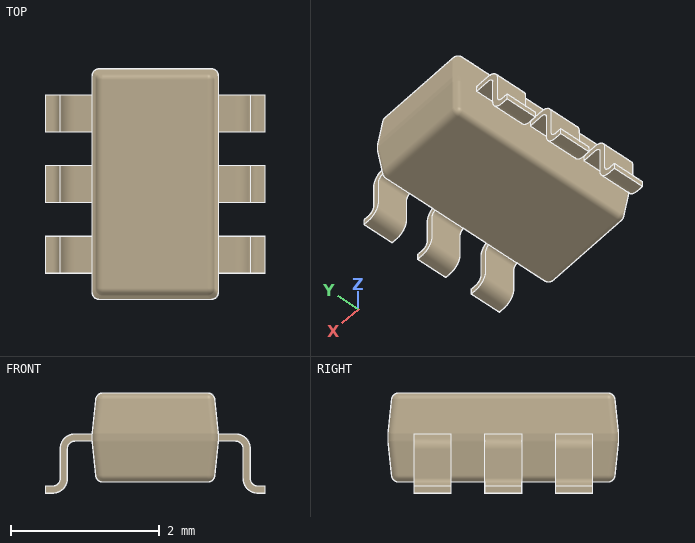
import cadquery as cq
import math

BODY_LENGTH = 3.1
BODY_WIDTH = 1.7
BODY_HEIGHT = 1.2
STANDOFF = 0.15
DRAFT_ANGLE = 6.0
EDGE_RADIUS = 0.1

LEAD_SPAN = 2.95
LEAD_THICKNESS = 0.1
LEAD_WIDTH = 0.5
LEAD_PITCH = 0.95
LEADS_PER_SIDE = 3
FOOT_FLAT = 0.1
INNER_BEND = 0.1
OUTER_BEND = INNER_BEND + LEAD_THICKNESS

PARTING_BAND = LEAD_THICKNESS
MID_HEIGHT = STANDOFF + BODY_HEIGHT / 2
SHOULDER_TOP = MID_HEIGHT + LEAD_THICKNESS / 2
DRAFTED_HEIGHT = (BODY_HEIGHT - PARTING_BAND) / 2


def make_body():
    """Upright band with a drafted half above and below, rounded on every edge."""
    band = (
        cq.Workplane("XY")
        .workplane(offset=MID_HEIGHT - PARTING_BAND / 2)
        .rect(BODY_WIDTH, BODY_LENGTH)
        .extrude(PARTING_BAND)
    )
    upper = (
        band.faces(">Z")
        .workplane()
        .rect(BODY_WIDTH, BODY_LENGTH)
        .extrude(DRAFTED_HEIGHT, taper=DRAFT_ANGLE, combine=False)
    )
    lower = upper.mirror("XY", (0, 0, MID_HEIGHT))
    block = band.union(upper).union(lower)
    return block.edges().fillet(EDGE_RADIUS)


def make_lead(y_center):
    """Gull-wing lead on the +X side, from the body wall down to its foot."""
    wall = BODY_WIDTH / 2
    tip = LEAD_SPAN / 2
    lower_bend_x = tip - FOOT_FLAT
    lower_bend_z = OUTER_BEND
    leg_inner = lower_bend_x - OUTER_BEND
    leg_outer = leg_inner + LEAD_THICKNESS
    upper_bend_x = leg_outer - OUTER_BEND
    upper_bend_z = SHOULDER_TOP - OUTER_BEND
    diagonal = math.cos(math.radians(45))
    inner_mid = INNER_BEND * diagonal
    outer_mid = OUTER_BEND * diagonal
    profile = (
        cq.Workplane("XZ", origin=(0, y_center, 0))
        .moveTo(wall, SHOULDER_TOP)
        .lineTo(upper_bend_x, SHOULDER_TOP)
        .threePointArc((upper_bend_x + outer_mid, upper_bend_z + outer_mid), (leg_outer, upper_bend_z))
        .lineTo(leg_outer, lower_bend_z)
        .threePointArc((lower_bend_x - inner_mid, lower_bend_z - inner_mid), (lower_bend_x, LEAD_THICKNESS))
        .lineTo(tip, LEAD_THICKNESS)
        .lineTo(tip, 0)
        .lineTo(lower_bend_x, 0)
        .threePointArc((lower_bend_x - outer_mid, lower_bend_z - outer_mid), (leg_inner, lower_bend_z))
        .lineTo(leg_inner, upper_bend_z)
        .threePointArc(
            (upper_bend_x + inner_mid, upper_bend_z + inner_mid),
            (upper_bend_x, SHOULDER_TOP - LEAD_THICKNESS),
        )
        .lineTo(wall, SHOULDER_TOP - LEAD_THICKNESS)
        .close()
    )
    return profile.extrude(LEAD_WIDTH / 2, both=True)


body = make_body()

leads = []
for row in range(LEADS_PER_SIDE):
    lead = make_lead((row - (LEADS_PER_SIDE - 1) / 2) * LEAD_PITCH)
    leads.append(lead.val())
    leads.append(lead.mirror("YZ").val())

result = cq.Compound.makeCompound([body.val(), *leads])